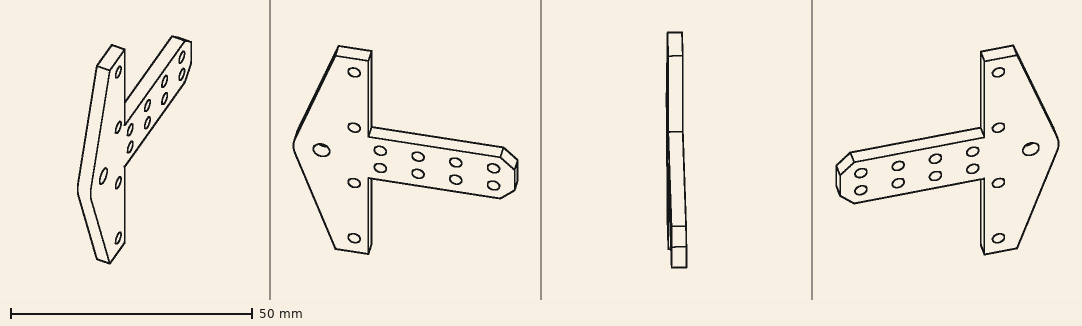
import cadquery as cq
import math

thickness = 3.0
head_height = 56.0
total_length = 47.0
head_edge_width = 7.0
nose_radius = 6.0
arm_length = 31.0
arm_width = 12.0
arm_chamfer = 3.0

small_hole_diameter = 2.5
nose_hole_diameter = 3.5
hole_pitch = 8.0
head_hole_pitch = 2 * hole_pitch
head_hole_inset = 3.0
arm_hole_inset = 4.5
arm_row_spacing = 5.0
arm_hole_columns = 4
head_hole_count = 4

tip_y = total_length - nose_radius
back_y = tip_y - arm_length
corner_y = back_y - head_edge_width
half_head = head_height / 2
half_arm = arm_width / 2

corner_distance = math.hypot(corner_y, half_head)
corner_angle = math.atan2(half_head, corner_y)
tangent_angle = corner_angle + math.acos(nose_radius / corner_distance)
tangent_y = nose_radius * math.cos(tangent_angle)
tangent_z = nose_radius * math.sin(tangent_angle)


def make_plate():
    return (
        cq.Workplane("YZ")
        .moveTo(tangent_y, tangent_z)
        .lineTo(corner_y, half_head)
        .lineTo(back_y, half_head)
        .lineTo(back_y, half_arm)
        .lineTo(tip_y - arm_chamfer, half_arm)
        .lineTo(tip_y, half_arm - arm_chamfer)
        .lineTo(tip_y, arm_chamfer - half_arm)
        .lineTo(tip_y - arm_chamfer, -half_arm)
        .lineTo(back_y, -half_arm)
        .lineTo(back_y, -half_head)
        .lineTo(corner_y, -half_head)
        .lineTo(tangent_y, -tangent_z)
        .threePointArc((-nose_radius, 0), (tangent_y, tangent_z))
        .close()
        .extrude(thickness / 2, both=True)
    )


def make_hole_cutters(points, diameter):
    return (
        cq.Workplane("YZ")
        .pushPoints(points)
        .circle(diameter / 2)
        .extrude(thickness, both=True)
    )


arm_holes = [
    (tip_y - arm_hole_inset - column * hole_pitch, side * arm_row_spacing / 2)
    for column in range(arm_hole_columns)
    for side in (-1, 1)
]
head_holes = [
    (back_y - head_hole_inset, (row - (head_hole_count - 1) / 2) * head_hole_pitch)
    for row in range(head_hole_count)
]

result = (
    make_plate()
    .cut(make_hole_cutters(arm_holes + head_holes, small_hole_diameter))
    .cut(make_hole_cutters([(0, 0)], nose_hole_diameter))
)